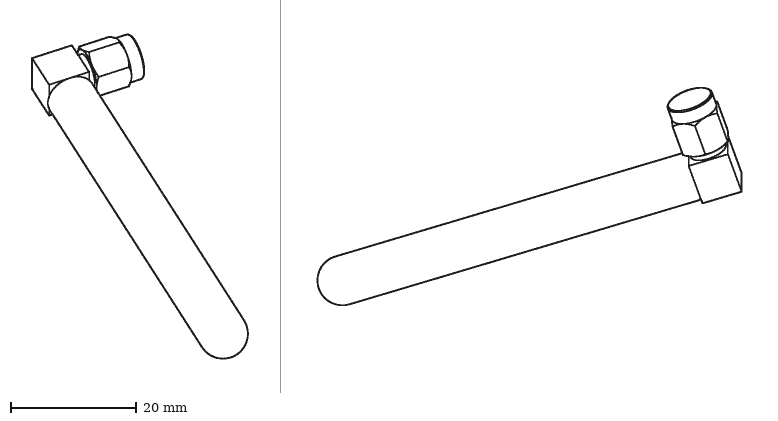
import cadquery as cq
import math


BLOCK_X = 6.6
BLOCK_YZ = 7.0

WHIP_RADIUS = 4.0
WHIP_TIP_X = 66.665
WHIP_BASE_ROUND = 0.8

HEX_CORNERS = 8.7
HEX_FLATS = HEX_CORNERS * math.cos(math.pi / 6)
NUT_START_Y = 4.65
COLLAR_START_Y = 10.75
NUT_END_Y = 13.09
COLLAR_CHAMFER = 0.2
HEX_CHAMFER_DEPTH = (HEX_CORNERS - HEX_FLATS) / 2
HEX_BACK_CHAMFER_LENGTH = 0.34
HEX_FRONT_CHAMFER_LENGTH = 0.45

NECK_DIAMETER = 6.0


def along_y(start_y):
    """Sketch plane square to the nut axis, extruding towards +Y, with its local X along global Z."""
    return cq.Workplane(cq.Plane(origin=(0, start_y, 0), xDir=(0, 0, 1), normal=(0, 1, 0)))


def make_block():
    return cq.Workplane("XY").box(BLOCK_X, BLOCK_YZ, BLOCK_YZ)


def make_whip():
    """Round rod with a rounded base edge and a hemispherical tip, revolved about X."""
    base_x = BLOCK_X / 2
    dome_x = WHIP_TIP_X - WHIP_RADIUS
    diagonal = WHIP_RADIUS * math.sqrt(0.5)
    round_diagonal = WHIP_BASE_ROUND * math.sqrt(0.5)
    return (
        cq.Workplane("XY")
        .moveTo(base_x, 0)
        .lineTo(base_x, WHIP_RADIUS - WHIP_BASE_ROUND)
        .threePointArc(
            (
                base_x + WHIP_BASE_ROUND - round_diagonal,
                WHIP_RADIUS - WHIP_BASE_ROUND + round_diagonal,
            ),
            (base_x + WHIP_BASE_ROUND, WHIP_RADIUS),
        )
        .lineTo(dome_x, WHIP_RADIUS)
        .threePointArc((dome_x + diagonal, diagonal), (WHIP_TIP_X, 0))
        .close()
        .revolve(360, (0, 0, 0), (1, 0, 0))
    )


def make_neck():
    neck_length = NUT_START_Y - BLOCK_YZ / 2
    return along_y(BLOCK_YZ / 2).circle(NECK_DIAMETER / 2).extrude(neck_length)


def make_hex():
    """Hexagonal prism with its corners turned down to the flats at both ends."""
    prism = along_y(NUT_START_Y).polygon(6, HEX_CORNERS).extrude(COLLAR_START_Y - NUT_START_Y)
    corner_radius = HEX_CORNERS / 2
    end_radius = corner_radius - HEX_CHAMFER_DEPTH
    turned_envelope = (
        cq.Workplane("XY")
        .moveTo(0, NUT_START_Y)
        .lineTo(end_radius, NUT_START_Y)
        .lineTo(corner_radius, NUT_START_Y + HEX_BACK_CHAMFER_LENGTH)
        .lineTo(corner_radius, COLLAR_START_Y - HEX_FRONT_CHAMFER_LENGTH)
        .lineTo(end_radius, COLLAR_START_Y)
        .lineTo(0, COLLAR_START_Y)
        .close()
        .revolve(360, (0, 0, 0), (0, 1, 0))
    )
    return prism.intersect(turned_envelope)


def make_collar():
    """Round front end of the nut, as wide as the flats, with a chamfered rim."""
    collar = along_y(COLLAR_START_Y).circle(HEX_FLATS / 2).extrude(NUT_END_Y - COLLAR_START_Y)
    return collar.faces(">Y").chamfer(COLLAR_CHAMFER)


result = make_block().union(make_whip()).union(make_neck()).union(make_hex()).union(make_collar())